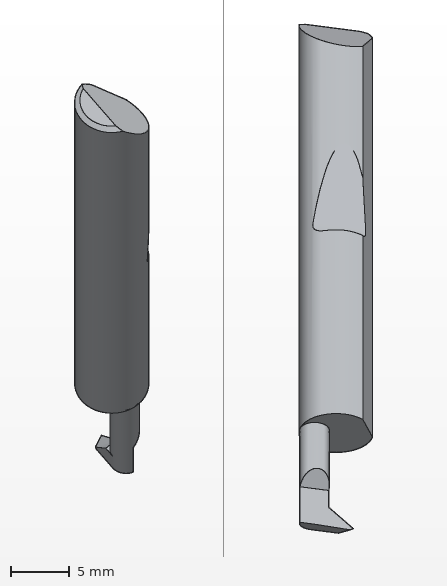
import cadquery as cq

total_length = 50.8
shank_radius = 3.175
shank_bottom = 9.5
shank_length = total_length - shank_bottom

flat_direction = 150.0
flat_distance = 2.8

chamfer_width = 0.45
chamfer_height = 0.3
bevel_start_y = -1.25

notch_top = 36.6
notch_bottom = 27.9
notch_depth = 1.4
notch_radius = 0.9

neck_radius = 1.25
neck_x = shank_radius - neck_radius
half_cut_height = 3.65
blade_top = 2.05
blade_shoulder_x = 0.9
tip_x = -1.5
tip_land = 0.25
tip_rise = 0.15
side_relief = 1.0
slope_relief = 0.2
heel_rise = 0.1
bottom_relief = 0.3

cut_size = 4 * shank_radius


def prism_along_x(points):
    """Extrude a YZ outline right across the shank."""
    return cq.Workplane("YZ").polyline(points).close().extrude(cut_size / 2, both=True)


def make_shank():
    shank = cq.Workplane("XY").workplane(offset=shank_bottom).circle(shank_radius).extrude(shank_length)
    chamfer_tool = (
        cq.Workplane("XZ")
        .polyline([
            (shank_radius, total_length),
            (shank_radius - chamfer_width, total_length),
            (shank_radius, total_length - chamfer_height),
        ])
        .close()
        .revolve(360, (0, 0, 0), (0, 1, 0))
    )
    bevel = prism_along_x([
        (bevel_start_y, total_length),
        (bevel_start_y + cut_size, total_length),
        (bevel_start_y + cut_size, total_length - cut_size),
    ])
    return shank.cut(chamfer_tool).cut(bevel)


def make_flat_cut():
    return (
        cq.Workplane("XY")
        .box(cut_size, cut_size, total_length, centered=(False, True, False))
        .translate((flat_distance, 0, 0))
        .rotate((0, 0, 0), (0, 0, 1), flat_direction)
    )


def make_notch():
    floor_y = shank_radius - notch_depth
    notch = prism_along_x([
        (shank_radius, notch_top),
        (floor_y, notch_bottom),
        (shank_radius, notch_bottom),
    ])
    return notch.edges("<Y").fillet(notch_radius)


def make_neck():
    neck = cq.Workplane("XY").center(neck_x, 0).circle(neck_radius).extrude(shank_bottom)
    half_cut = prism_along_x([
        (0, 0),
        (0, half_cut_height),
        (cut_size, half_cut_height + cut_size),
        (cut_size, 0),
    ])
    lower_face_cut = prism_along_x([
        (0, 0),
        (0, heel_rise),
        (-neck_radius, bottom_relief),
        (-neck_radius, 0),
    ])
    return neck.cut(half_cut).cut(lower_face_cut)


def make_blade():
    cutting_outline = [
        (tip_x, tip_rise),
        (tip_x + tip_land, 0),
        (neck_x, heel_rise),
        (neck_x, blade_top),
        (blade_shoulder_x - slope_relief, blade_top),
    ]
    back_tip_x = tip_x + side_relief
    back_outline = [
        (back_tip_x - tip_land / 2, bottom_relief + tip_rise),
        (back_tip_x, bottom_relief),
        (neck_x, bottom_relief),
        (neck_x, blade_top),
        (blade_shoulder_x, blade_top),
    ]
    return (
        cq.Workplane("XZ")
        .polyline(cutting_outline)
        .close()
        .workplane(offset=neck_radius)
        .polyline(back_outline)
        .close()
        .loft(ruled=True)
    )


shank = make_shank().cut(make_flat_cut()).cut(make_notch())
result = shank.union(make_neck()).union(make_blade())